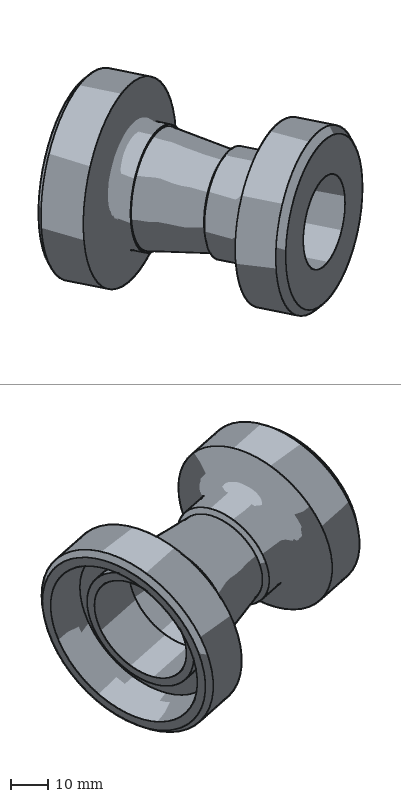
import cadquery as cq
import math

length = 71.5
reducer_start = 22.5
reducer_end = 42.55

large_flange_diameter = 58.0
large_flange_width = 14.0
large_rim_chamfer = 1.5
large_hub_diameter = 35.0
large_fillet_radius = 3.0
socket_mouth_diameter = 49.5
socket_diameter = 45.8
socket_taper_depth = 6.8
socket_depth = 10.45
lip_diameter = 36.0
lip_height = 3.2
large_bore_diameter = 31.0

small_flange_diameter = 52.0
small_flange_width = 14.0
small_rim_chamfer = 2.0
small_hub_diameter = 31.0
small_hub_chamfer_length = 0.9
small_fillet_radius = 5.0
small_bore_diameter = 26.0

reducer_wall = 1.5
throat_diameter = 24.95

back_slope = math.radians(10)


def revolve_about_x(profile):
    """Turn a closed (x, radius) profile into a body around the X axis."""
    return profile.close().revolve(360, (0, 0, 0), (1, 0, 0))


def back_fillet(flange_x, flange_radius, hub_radius, fillet_radius, toward):
    """Return the slope end, arc middle and hub end of a flange-to-hub fillet.

    toward is +1 when the hub lies on the +X side of the flange, otherwise -1.
    """
    center_radius = hub_radius + fillet_radius
    slope_end_radius = center_radius - fillet_radius * math.sin(back_slope)
    slope_run = (flange_radius - slope_end_radius) * math.tan(back_slope)
    slope_end_x = flange_x + toward * slope_run
    center_x = slope_end_x + toward * fillet_radius * math.cos(back_slope)
    middle_angle = (back_slope + math.pi / 2) / 2
    middle = (
        center_x - toward * fillet_radius * math.cos(middle_angle),
        center_radius - fillet_radius * math.sin(middle_angle),
    )
    return (slope_end_x, slope_end_radius), middle, (center_x, hub_radius)


def make_large_fitting():
    """Flanged fitting with a tapered socket and a lip around its bore."""
    flange_radius = large_flange_diameter / 2
    hub_radius = large_hub_diameter / 2
    bore_radius = large_bore_diameter / 2
    lip_x = socket_depth - lip_height
    slope_end, arc_middle, hub_end = back_fillet(
        large_flange_width, flange_radius, hub_radius, large_fillet_radius, 1
    )
    profile = (
        cq.Workplane("XY")
        .moveTo(0, socket_mouth_diameter / 2)
        .lineTo(0, flange_radius - large_rim_chamfer)
        .lineTo(large_rim_chamfer, flange_radius)
        .lineTo(large_flange_width, flange_radius)
        .lineTo(*slope_end)
        .threePointArc(arc_middle, hub_end)
        .lineTo(reducer_start, hub_radius)
        .lineTo(reducer_start, bore_radius)
        .lineTo(lip_x, bore_radius)
        .lineTo(lip_x, lip_diameter / 2)
        .lineTo(socket_depth, lip_diameter / 2)
        .lineTo(socket_depth, socket_diameter / 2)
        .lineTo(socket_taper_depth, socket_diameter / 2)
    )
    return revolve_about_x(profile)


def make_reducer():
    """Thin conical tube that butts against both fittings."""
    large_inner = large_bore_diameter / 2
    small_inner = throat_diameter / 2
    profile = (
        cq.Workplane("XY")
        .moveTo(reducer_start, large_inner)
        .lineTo(reducer_start, large_inner + reducer_wall)
        .lineTo(reducer_end, small_inner + reducer_wall)
        .lineTo(reducer_end, small_inner)
    )
    return revolve_about_x(profile)


def make_small_fitting():
    """Flanged fitting with a chamfered hub and a plain bore."""
    flange_radius = small_flange_diameter / 2
    hub_radius = small_hub_diameter / 2
    bore_radius = small_bore_diameter / 2
    flange_x = length - small_flange_width
    slope_end, arc_middle, hub_end = back_fillet(
        flange_x, flange_radius, hub_radius, small_fillet_radius, -1
    )
    profile = (
        cq.Workplane("XY")
        .moveTo(reducer_end, bore_radius)
        .lineTo(reducer_end, throat_diameter / 2 + reducer_wall)
        .lineTo(reducer_end + small_hub_chamfer_length, hub_radius)
        .lineTo(*hub_end)
        .threePointArc(arc_middle, slope_end)
        .lineTo(flange_x, flange_radius)
        .lineTo(length - small_rim_chamfer, flange_radius)
        .lineTo(length, flange_radius - small_rim_chamfer)
        .lineTo(length, bore_radius)
    )
    return revolve_about_x(profile)


large_fitting = make_large_fitting()
reducer = make_reducer()
small_fitting = make_small_fitting()

result = cq.Compound.makeCompound(
    [large_fitting.val(), reducer.val(), small_fitting.val()]
)